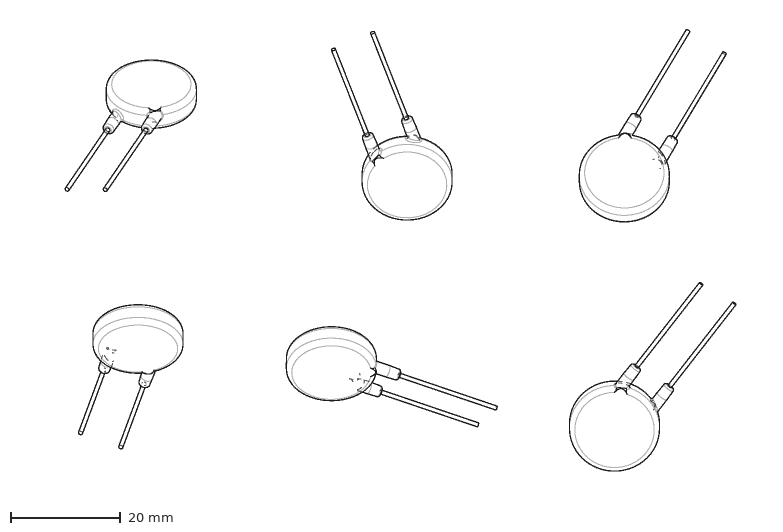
import cadquery as cq
import math

disc_diameter = 16.5
disc_height = 4.4
rim_radius = 1.0
disc_radius = disc_diameter / 2

lead_pitch = 7.5
lead_height_offset = 1.0
sleeve_root_radius = 1.1
sleeve_tip_radius = 1.05
taper_start_y = -9.5
sleeve_tip_y = -11.9
tip_rounding = 0.35
sleeve_blend_radius = 0.3
sleeve_start_y = -4.8

flare_inner = (6.4, 1.9)
flare_middle = (7.7, 1.4)
flare_outer = (8.3, 1.05)

overall_length = 40.0
wire_diameter = 0.8
wire_end_y = disc_radius - overall_length

lead_places = [(side * lead_pitch / 2, side * lead_height_offset) for side in (-1, 1)]


def make_blank():
    """Sharp-edged disc that also limits the flares."""
    base = cq.Workplane("XY").workplane(offset=-disc_height / 2)
    return base.circle(disc_radius).extrude(disc_height)


def make_disc():
    """Round disc with both rims rounded."""
    disc = make_blank()
    return disc.faces("|Z").edges().fillet(rim_radius)


def make_sleeve(x, z):
    """Sleeve along -Y, starting inside the disc."""
    profile = (
        cq.Workplane("XY")
        .moveTo(0, sleeve_start_y)
        .lineTo(sleeve_root_radius, sleeve_start_y)
        .lineTo(sleeve_root_radius, taper_start_y)
        .lineTo(sleeve_tip_radius, sleeve_tip_y)
        .lineTo(0, sleeve_tip_y)
        .close()
    )
    sleeve = profile.revolve(360, (0, 0, 0), (0, 1, 0))
    return sleeve.faces("<Y").edges().fillet(tip_rounding).translate((x, 0, z))


def make_flare(x, z):
    """Trumpet pointing from the disc axis to the sleeve root, cut flush with the disc faces."""
    root_y = -math.sqrt(disc_radius**2 - x**2)
    turn = math.degrees(math.atan2(root_y, x))
    profile = (
        cq.Workplane("XY")
        .moveTo(flare_inner[0], 0)
        .lineTo(*flare_inner)
        .threePointArc(flare_middle, flare_outer)
        .lineTo(flare_outer[0], 0)
        .close()
    )
    flare = profile.revolve(360, (0, 0, 0), (1, 0, 0))
    flare = flare.rotate((0, 0, 0), (0, 0, 1), turn).translate((0, 0, z))
    return flare.intersect(make_blank())


def make_housing():
    """Disc and both sleeves as one solid, with a fillet and a flare at each sleeve root."""
    housing = make_disc()
    for x, z in lead_places:
        housing = housing.union(make_sleeve(x, z))
    housing = housing.edges("%BSPLINE").fillet(sleeve_blend_radius)
    for x, z in lead_places:
        housing = housing.union(make_flare(x, z))
    return housing


def make_wire(x, z):
    """Straight round wire from the sleeve tip to the free end."""
    wire = cq.Workplane("XZ", origin=(x, sleeve_tip_y, z)).circle(wire_diameter / 2)
    return wire.extrude(sleeve_tip_y - wire_end_y)


housing = make_housing()
wires = [make_wire(x, z) for x, z in lead_places]

result = cq.Compound.makeCompound([housing.val(), *[wire.val() for wire in wires]])